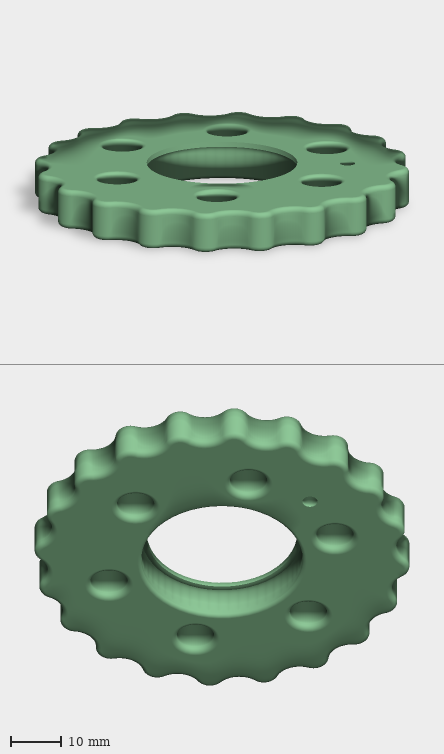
import cadquery as cq
import math

envelope = 73.9
thickness = 8.0
edge_radius = 1.0

lobe_count = 20
lobe_radius = 3.0
valley_floor = 34.8
half_pitch = math.pi / lobe_count

bore_diameter = 30.0
recess_diameter = 32.15
lip_height = 1.0
mouth_radius = 0.75

bolt_count = 6
bolt_circle_diameter = 47.0
bolt_diameter = 7.5
pin_diameter = 3.0
pin_distance = 25.0
pin_angle = math.radians(31.5)

lobe_center = (envelope / 2 - lobe_radius) / math.cos(half_pitch)

projected_center = lobe_center * math.cos(half_pitch)
valley_radius = (
    (lobe_center**2 + valley_floor**2 - 2 * valley_floor * projected_center - lobe_radius**2)
    / (2 * (lobe_radius + projected_center - valley_floor))
)
valley_center = valley_floor + valley_radius


def polar(distance, angle):
    return (distance * math.cos(angle), distance * math.sin(angle))


def tangent_point(lobe_angle, valley_angle):
    """Point where a lobe meets its neighbouring valley."""
    lobe = polar(lobe_center, lobe_angle)
    valley = polar(valley_center, valley_angle)
    share = lobe_radius / (lobe_radius + valley_radius)
    return tuple(a + share * (b - a) for a, b in zip(lobe, valley))


def scalloped_disc():
    outline = cq.Workplane("XY").moveTo(*tangent_point(half_pitch, 0))
    for index in range(lobe_count):
        lobe_angle = (2 * index + 1) * half_pitch
        valley_angle = lobe_angle + half_pitch
        next_lobe_angle = valley_angle + half_pitch
        outline = outline.threePointArc(
            polar(lobe_center + lobe_radius, lobe_angle),
            tangent_point(lobe_angle, valley_angle),
        )
        outline = outline.threePointArc(
            polar(valley_floor, valley_angle),
            tangent_point(next_lobe_angle, valley_angle),
        )
    return outline.close().extrude(thickness)


def cylinder(diameter, height):
    return cq.Workplane("XY").circle(diameter / 2).extrude(height)


bolt_holes = (
    cq.Workplane("XY")
    .polarArray(bolt_circle_diameter / 2, 0, 360, bolt_count)
    .circle(bolt_diameter / 2)
    .extrude(thickness)
)
result = scalloped_disc().cut(bolt_holes).faces("|Z").edges().fillet(edge_radius)

result = result.cut(cylinder(recess_diameter, thickness - lip_height))
recess_mouth = cq.selectors.RadiusNthSelector(-1)
result = result.faces("<Z").edges("%CIRCLE").edges(recess_mouth).fillet(mouth_radius)
result = result.cut(cylinder(bore_diameter, thickness))

pin_x, pin_y = polar(pin_distance, pin_angle)
result = result.cut(cylinder(pin_diameter, thickness).translate((pin_x, pin_y, 0)))